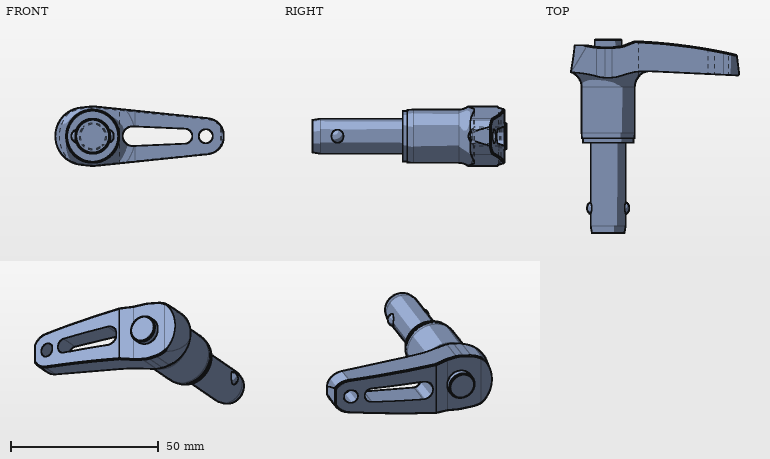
import cadquery as cq
import math

PIN_RADIUS = 6.0
PIN_LENGTH = 30.55
TIP_RADIUS = 5.5
TIP_LENGTH = 2.55
BUTTON_RADIUS = 4.6
BUTTON_TOP = 65.7 - PIN_LENGTH
BUTTON_CHAMFER = 0.4
BALL_RADIUS = 2.3
BALL_REACH = 7.2
BALL_Y = -22.1

SLEEVE_RADIUS = 9.05
SLEEVE_TOP = 19.0
FLARE_RADIUS = 5.25
COLLAR_RADIUS = 8.6
COLLAR_HEIGHT = 1.6
TAPER_RADIUS = 8.95
TAPER_TOP = 3.55

HEAD_CENTER_X = -2.9
HEAD_RADIUS = 9.8
SHOULDER_X = 0.0
SHOULDER_HALF_WIDTH = 10.2
SHOULDER_BLEND_RADIUS = 10.85
END_CENTER_X = 38.3
END_RADIUS = 6.2

HEAD_BACK_X = HEAD_CENTER_X - HEAD_RADIUS
HANDLE_END_X = END_CENTER_X + END_RADIUS
ARM_BOTTOM = SLEEVE_TOP + FLARE_RADIUS
FLARE_OUTER_RADIUS = SLEEVE_RADIUS + FLARE_RADIUS
END_BOTTOM = 22.8
END_TOP_X = 43.55
END_TOP = 29.8
END_ROUNDING = 0.65
ARM_MIDDLE = (26.95, 32.9)
CREST = (9.05, 34.5)
DISH_BACK = (-7.2, 33.1)
DISH_BOTTOM = (0.0, 32.4)
DISH_FRONT = (4.6, 32.8)
TOP_EDGE_CHAMFER = 0.4
TOP_FACING = 0.7

RELIEF_TOP_RADIUS = 11.35
RELIEF_BOTTOM_RADIUS = -HEAD_BACK_X
RELIEF_BOTTOM = 24.05

SLOT_BACK_X = 13.5
SLOT_BACK_RADIUS = 3.3
SLOT_FRONT_X = 31.2
SLOT_FRONT_RADIUS = 2.5
HOLE_RADIUS = 2.33


def circle_point(center_x, radius, angle):
    return (center_x + radius * math.cos(angle), radius * math.sin(angle))


def extrude_along_y(plan):
    """Extrude an X-Z outline, symmetric about Z = 0, from Y = 0 to the button top."""
    return plan.extrude(-BUTTON_TOP)


def turned(points):
    return cq.Workplane("XY").polyline(points).close().revolve(360, (0, 0), (0, 1))


def handle_plan():
    """Outline whose sides run tangent to the head and to the arm end."""
    to_head = math.atan2(SHOULDER_HALF_WIDTH, SHOULDER_X - HEAD_CENTER_X)
    head_distance = math.hypot(SHOULDER_HALF_WIDTH, SHOULDER_X - HEAD_CENTER_X)
    head_angle = to_head + math.acos(HEAD_RADIUS / head_distance)
    to_end = math.atan2(SHOULDER_HALF_WIDTH, SHOULDER_X - END_CENTER_X)
    end_distance = math.hypot(SHOULDER_HALF_WIDTH, SHOULDER_X - END_CENTER_X)
    end_angle = to_end - math.acos(END_RADIUS / end_distance)
    head_x, head_z = circle_point(HEAD_CENTER_X, HEAD_RADIUS, head_angle)
    end_x, end_z = circle_point(END_CENTER_X, END_RADIUS, end_angle)
    plan = extrude_along_y(
        cq.Workplane("XZ")
        .moveTo(head_x, head_z)
        .lineTo(SHOULDER_X, SHOULDER_HALF_WIDTH)
        .lineTo(end_x, end_z)
        .threePointArc((HANDLE_END_X, 0), (end_x, -end_z))
        .lineTo(SHOULDER_X, -SHOULDER_HALF_WIDTH)
        .lineTo(head_x, -head_z)
        .threePointArc((HEAD_BACK_X, 0), (head_x, head_z))
        .close()
    )
    for shoulder_z in (-SHOULDER_HALF_WIDTH, SHOULDER_HALF_WIDTH):
        shoulder = cq.selectors.NearestToPointSelector((SHOULDER_X, BUTTON_TOP / 2, shoulder_z))
        plan = plan.edges("|Y").edges(shoulder).fillet(SHOULDER_BLEND_RADIUS)
    return plan


def side_profile():
    """Dished, drooping handle profile, wide enough to span the plan."""
    return (
        cq.Workplane("XY")
        .moveTo(HEAD_BACK_X, ARM_BOTTOM)
        .lineTo(HEAD_BACK_X, DISH_BACK[1])
        .lineTo(*DISH_BACK)
        .threePointArc(DISH_BOTTOM, DISH_FRONT)
        .lineTo(*CREST)
        .threePointArc(ARM_MIDDLE, (END_TOP_X, END_TOP))
        .lineTo(HANDLE_END_X, END_BOTTOM)
        .lineTo(FLARE_OUTER_RADIUS, ARM_BOTTOM)
        .close()
        .extrude(2 * SHOULDER_HALF_WIDTH, both=True)
        .edges(cq.selectors.NearestToPointSelector((HANDLE_END_X, END_BOTTOM, 0)))
        .fillet(END_ROUNDING)
    )


def flare():
    """Concave flare joining the sleeve to the underside of the handle."""
    diagonal = FLARE_RADIUS * math.sqrt(0.5)
    return (
        cq.Workplane("XY")
        .moveTo(0, SLEEVE_TOP)
        .lineTo(SLEEVE_RADIUS, SLEEVE_TOP)
        .threePointArc(
            (FLARE_OUTER_RADIUS - diagonal, SLEEVE_TOP + diagonal),
            (FLARE_OUTER_RADIUS, ARM_BOTTOM),
        )
        .lineTo(0, ARM_BOTTOM)
        .close()
        .revolve(360, (0, 0), (0, 1))
    )


def back_relief():
    """Material behind the pin axis that lies outside a cone about that axis."""
    height = BUTTON_TOP - RELIEF_BOTTOM
    slope = (RELIEF_BOTTOM_RADIUS - RELIEF_TOP_RADIUS) / (DISH_BACK[1] - RELIEF_BOTTOM)
    cone = turned([
        (0, RELIEF_BOTTOM),
        (RELIEF_BOTTOM_RADIUS, RELIEF_BOTTOM),
        (RELIEF_BOTTOM_RADIUS - slope * height, BUTTON_TOP),
        (0, BUTTON_TOP),
    ])
    block_length = 2 * RELIEF_BOTTOM_RADIUS
    block = cq.Workplane("XY").box(block_length, height, 2 * block_length).translate(
        (-block_length / 2, RELIEF_BOTTOM + height / 2, 0)
    )
    return block.cut(cone)


def arm_openings():
    """Tapered slot with tangent sides, and the round hole near the arm end."""
    angle = math.acos((SLOT_BACK_RADIUS - SLOT_FRONT_RADIUS) / (SLOT_FRONT_X - SLOT_BACK_X))
    back_x, back_z = circle_point(SLOT_BACK_X, SLOT_BACK_RADIUS, angle)
    front_x, front_z = circle_point(SLOT_FRONT_X, SLOT_FRONT_RADIUS, angle)
    slot = (
        cq.Workplane("XZ")
        .moveTo(back_x, back_z)
        .lineTo(front_x, front_z)
        .threePointArc((SLOT_FRONT_X + SLOT_FRONT_RADIUS, 0), (front_x, -front_z))
        .lineTo(back_x, -back_z)
        .threePointArc((SLOT_BACK_X - SLOT_BACK_RADIUS, 0), (back_x, back_z))
        .close()
    )
    hole = cq.Workplane("XZ").center(END_CENTER_X, 0).circle(HOLE_RADIUS)
    return extrude_along_y(slot).union(extrude_along_y(hole))


def handle():
    """Chamfered and relieved handle, its flare and its openings."""
    plan = handle_plan()
    upper = plan.intersect(side_profile())
    top_faces = [face for face in upper.faces().vals() if face.normalAt().y > TOP_FACING]
    edges = [edge for face in top_faces for edge in face.Edges()]
    rim = [edge for edge in edges if sum(edge.isSame(other) for other in edges) == 1]
    upper = upper.newObject(rim).chamfer(TOP_EDGE_CHAMFER)
    upper = upper.cut(back_relief())
    lower = plan.intersect(flare())
    return upper.union(lower).cut(arm_openings())


def pin_and_sleeve():
    """Turned pin, sleeve and button along the common axis."""
    return turned([
        (0, -PIN_LENGTH),
        (TIP_RADIUS, -PIN_LENGTH),
        (PIN_RADIUS, TIP_LENGTH - PIN_LENGTH),
        (PIN_RADIUS, 0),
        (COLLAR_RADIUS, 0),
        (COLLAR_RADIUS, COLLAR_HEIGHT),
        (TAPER_RADIUS, COLLAR_HEIGHT),
        (SLEEVE_RADIUS, TAPER_TOP),
        (SLEEVE_RADIUS, SLEEVE_TOP),
        (BUTTON_RADIUS, SLEEVE_TOP),
        (BUTTON_RADIUS, BUTTON_TOP - BUTTON_CHAMFER),
        (BUTTON_RADIUS - BUTTON_CHAMFER, BUTTON_TOP),
        (0, BUTTON_TOP),
    ])


result = handle().union(pin_and_sleeve())

for side in (-1, 1):
    ball_x = side * (BALL_REACH - BALL_RADIUS)
    ball = cq.Workplane("XY").sphere(BALL_RADIUS).translate((ball_x, BALL_Y, 0))
    result = result.union(ball)